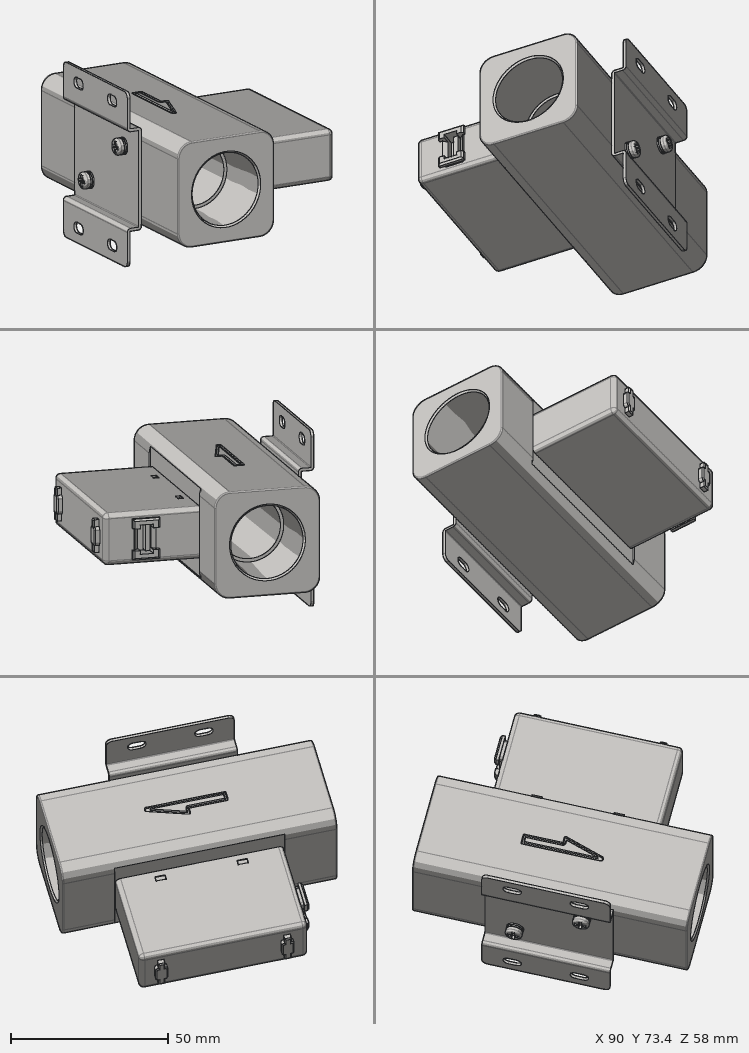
import cadquery as cq
TUBE_LENGTH = 90.0
TUBE_SIDE = 34.9
TUBE_CORNER_RADIUS = 5.0
TUBE_END_FILLET = 0.4
TUBE_HALF = TUBE_SIDE / 2

BORE_RADIUS = 10.3
SOCKET_MOUTH_RADIUS = 12.0
SOCKET_FLOOR_RADIUS = 11.4
SOCKET_DEPTH = 20.0
SOCKET_CHAMFER = 0.6

SEAT_LENGTH = 55.8
SEAT_DEPTH = 0.5
SEAT_FLOOR_Y = TUBE_HALF - SEAT_DEPTH

ARROW_TAIL_X = -13.3
ARROW_STEP_X = -0.4
ARROW_TIP_X = 18.0
ARROW_BOTTOM_Y = -2.0
ARROW_SHAFT_Y = 1.6
ARROW_HEAD_Y = 4.1
ARROW_GROOVE_WIDTH = 1.05
ARROW_GROOVE_DEPTH = 0.4
ARROW_GROOVE_CHAMFER = 0.3
ARROW_WALL_ANGLE = 35.0
ARROW_CORNER_RADIUS = 0.5
ARROW_TIP_RADIUS = 0.85

COVER_LENGTH = 55.0
COVER_HEIGHT = 17.0
COVER_BACK_Y = 49.0
COVER_FILLET = 1.6
COVER_SIDE_X = -COVER_LENGTH / 2

LUG_SPACING = 41.4
LUG_PROJECTION = 1.8
LUG_BAR_WIDTH = 2.2
LUG_BAR_HEIGHT = 10.8
LUG_BLOCK_WIDTH = 4.0
LUG_BLOCK_HEIGHT = 6.2
LUG_BLOCK_RADIUS = 1.0
LUG_CHAMFER = 0.4

WINDOW_SPACING = 26.9
WINDOW_LENGTH = 3.3
WINDOW_WIDTH = 1.7
WINDOW_Y = 19.8
WINDOW_DEPTH = 1.2
WINDOW_SHALLOW_DEPTH = 0.4

CONNECTOR_Y = 35.6
CONNECTOR_FACE_X = -30.2
FLANGE_THICKNESS = 1.5
FLANGE_WIDTH = 9.0
FLANGE_HEIGHT = 13.4
FLANGE_CHAMFER = 0.6
NECK_WIDTH = 7.0
NECK_HEIGHT = 12.2
NECK_EDGE_RADIUS = 0.7
CONNECTOR_EMBED = 5.0
MOUTH_WIDTH = 4.4
MOUTH_HEIGHT = 9.6
MOUTH_DEPTH = 5.0
NOTCH_HEIGHT = 7.2
TONGUE_WIDTH = 1.5
TONGUE_HEIGHT = 8.6
TONGUE_OFFSET_Y = -0.9
TONGUE_LENGTH = 3.0

SHEET = 1.0
BRACKET_WIDTH = 42.0
BRACKET_HEIGHT = 58.0
BRACKET_LEG_Z = 17.0
BRACKET_FRONT_Y = -22.6
BEND_INNER_RADIUS = 0.2
BEND_OUTER_RADIUS = BEND_INNER_RADIUS + SHEET
BRACKET_CORNER_RADIUS = 2.0
SLOT_LENGTH = 6.0
SLOT_WIDTH = 3.5
SLOT_X = 11.0
SLOT_Z = 24.0
WEB_FRONT_Y = -TUBE_HALF - SHEET

SCREW_X = 11.0
SCREW_Z = 8.4
SHANK_RADIUS = 1.5
SHANK_LENGTH = 6.0
WASHER_RADIUS = 2.8
WASHER_THICKNESS = 0.5
SPRING_WASHER_RADIUS = 2.6
SPRING_WASHER_THICKNESS = 0.6
HEAD_RADIUS = 2.75
HEAD_HEIGHT = 2.0
HEAD_DOME_RADIUS = 0.9
RECESS_SPAN = 3.8
RECESS_ARM = 0.9
RECESS_CORE = 1.7
RECESS_DEPTH = 1.2
SCREW_POSITIONS = [(-SCREW_X, -SCREW_Z), (SCREW_X, SCREW_Z)]


def box(length, width, height, x, y, z):
    """Box centred on the point (x, y, z)."""
    return cq.Workplane("XY").box(length, width, height).translate((x, y, z))


def bore_cutter():
    """Solid of revolution about X: through bore plus a tapered socket at each end."""
    end = TUBE_LENGTH / 2
    shoulder = end - SOCKET_DEPTH
    neck = end - SOCKET_CHAMFER
    rim = SOCKET_MOUTH_RADIUS + SOCKET_CHAMFER
    return (
        cq.Workplane("XY")
        .moveTo(-end, 0)
        .lineTo(-end, rim)
        .lineTo(-neck, SOCKET_MOUTH_RADIUS)
        .lineTo(-shoulder, SOCKET_FLOOR_RADIUS)
        .lineTo(-shoulder, BORE_RADIUS)
        .lineTo(shoulder, BORE_RADIUS)
        .lineTo(shoulder, SOCKET_FLOOR_RADIUS)
        .lineTo(neck, SOCKET_MOUTH_RADIUS)
        .lineTo(end, rim)
        .lineTo(end, 0)
        .close()
        .revolve(360, (0, 0, 0), (1, 0, 0))
    )


def arrow_groove():
    """Outline of a half arrow, sunk into the tube top with sloping lower walls."""
    floor_z = TUBE_HALF - ARROW_GROOVE_DEPTH
    corners = [
        (ARROW_TAIL_X, ARROW_BOTTOM_Y),
        (ARROW_TIP_X, ARROW_BOTTOM_Y),
        (ARROW_STEP_X, ARROW_HEAD_Y),
        (ARROW_STEP_X, ARROW_SHAFT_Y),
        (ARROW_TAIL_X, ARROW_SHAFT_Y),
    ]
    arrow = (
        cq.Workplane("XY", origin=(0, 0, floor_z))
        .polyline(corners)
        .close()
        .extrude(ARROW_GROOVE_DEPTH)
    )
    rim = arrow.faces(">Z").wires().toPending()
    island = rim.offset2D(-ARROW_GROOVE_WIDTH).extrude(
        -ARROW_GROOVE_DEPTH, combine=False, taper=-ARROW_WALL_ANGLE
    )
    arrow = arrow.edges("|Z and >X").fillet(ARROW_TIP_RADIUS)
    arrow = arrow.edges("|Z and (<X or >Y)").fillet(ARROW_CORNER_RADIUS)
    arrow = arrow.faces("<Z").chamfer(ARROW_GROOVE_CHAMFER)
    return arrow.cut(island)


def screw_holes():
    """Holes through the bracket web and into the tube for the screw shanks."""
    return (
        cq.Workplane("XZ", origin=(0, WEB_FRONT_Y, 0))
        .pushPoints(SCREW_POSITIONS)
        .circle(SHANK_RADIUS)
        .extrude(-SHANK_LENGTH)
    )


def make_tube():
    tube = box(TUBE_LENGTH, TUBE_SIDE, TUBE_SIDE, 0, 0, 0)
    tube = tube.edges("|X").fillet(TUBE_CORNER_RADIUS)
    tube = tube.faces("<X or >X").edges().fillet(TUBE_END_FILLET)
    seat = box(SEAT_LENGTH, SEAT_DEPTH, TUBE_SIDE, 0, TUBE_HALF - SEAT_DEPTH / 2, 0)
    return tube.cut(bore_cutter()).cut(seat).cut(arrow_groove()).cut(screw_holes())


def make_lug(x):
    """Cross-shaped lug standing on the back of the cover."""
    y = COVER_BACK_Y + LUG_PROJECTION / 2
    bar = box(LUG_BAR_WIDTH, LUG_PROJECTION, LUG_BAR_HEIGHT, x, y, 0)
    block = box(LUG_BLOCK_WIDTH, LUG_PROJECTION, LUG_BLOCK_HEIGHT, x, y, 0)
    block = block.edges("|Y").fillet(LUG_BLOCK_RADIUS)
    return bar.union(block).faces(">Y").chamfer(LUG_CHAMFER)


def snap_window(x):
    """Rectangular pocket whose floor slopes down toward +Y."""
    top = COVER_HEIGHT / 2
    near = WINDOW_Y - WINDOW_WIDTH / 2
    far = WINDOW_Y + WINDOW_WIDTH / 2
    return (
        cq.Workplane("YZ", origin=(x - WINDOW_LENGTH / 2, 0, 0))
        .polyline(
            [
                (near, top),
                (far, top),
                (far, top - WINDOW_DEPTH),
                (near, top - WINDOW_SHALLOW_DEPTH),
            ]
        )
        .close()
        .extrude(WINDOW_LENGTH)
    )


def make_cover():
    depth = COVER_BACK_Y - SEAT_FLOOR_Y
    cover = box(COVER_LENGTH, depth, COVER_HEIGHT, 0, SEAT_FLOOR_Y + depth / 2, 0)
    cover = cover.edges("not(<Y)").fillet(COVER_FILLET)
    for side in (-1, 1):
        cover = cover.union(make_lug(side * LUG_SPACING / 2))
        cover = cover.cut(snap_window(side * WINDOW_SPACING / 2))
    return cover.cut(connector_neck())


def connector_neck():
    """Plain block of the connector, from the flange to its end inside the cover."""
    start = CONNECTOR_FACE_X + FLANGE_THICKNESS
    end = COVER_SIDE_X + CONNECTOR_EMBED
    neck = box(end - start, NECK_WIDTH, NECK_HEIGHT, (start + end) / 2, CONNECTOR_Y, 0)
    return neck.edges("|X").fillet(NECK_EDGE_RADIUS)


def connector_notch():
    """Tapered notch across the middle of the flange, leading into the mouth."""
    back = CONNECTOR_FACE_X + FLANGE_THICKNESS
    lead_in = (NECK_WIDTH - MOUTH_WIDTH) / 2
    half_flange = FLANGE_WIDTH / 2
    half_neck = NECK_WIDTH / 2
    half_mouth = MOUTH_WIDTH / 2
    return (
        cq.Workplane("XY", origin=(0, CONNECTOR_Y, -NOTCH_HEIGHT / 2))
        .polyline(
            [
                (CONNECTOR_FACE_X, -half_flange),
                (back, -half_flange),
                (back, -half_neck),
                (back + lead_in, -half_mouth),
                (back + lead_in, half_mouth),
                (back, half_neck),
                (back, half_flange),
                (CONNECTOR_FACE_X, half_flange),
            ]
        )
        .close()
        .extrude(NOTCH_HEIGHT)
    )


def make_connector():
    flange_x = CONNECTOR_FACE_X + FLANGE_THICKNESS / 2
    flange = box(FLANGE_THICKNESS, FLANGE_WIDTH, FLANGE_HEIGHT, flange_x, CONNECTOR_Y, 0)
    flange = flange.faces("<X").chamfer(FLANGE_CHAMFER)
    mouth_x = CONNECTOR_FACE_X + MOUTH_DEPTH / 2
    mouth = box(MOUTH_DEPTH, MOUTH_WIDTH, MOUTH_HEIGHT, mouth_x, CONNECTOR_Y, 0)
    tongue_x = CONNECTOR_FACE_X + MOUTH_DEPTH - TONGUE_LENGTH / 2
    tongue_y = CONNECTOR_Y + TONGUE_OFFSET_Y
    tongue = box(TONGUE_LENGTH, TONGUE_WIDTH, TONGUE_HEIGHT, tongue_x, tongue_y, 0)
    shell = flange.union(connector_neck())
    return shell.cut(connector_notch()).cut(mouth).union(tongue)


def bracket_half(side):
    """Z-bent profile of one half of the bracket, from mid-height to one end."""
    leg_inner = BRACKET_LEG_Z - SHEET
    flange_back_y = BRACKET_FRONT_Y + SHEET
    profile = [
        (-TUBE_HALF, 0),
        (-TUBE_HALF, BRACKET_LEG_Z),
        (flange_back_y, BRACKET_LEG_Z),
        (flange_back_y, BRACKET_HEIGHT / 2),
        (BRACKET_FRONT_Y, BRACKET_HEIGHT / 2),
        (BRACKET_FRONT_Y, leg_inner),
        (WEB_FRONT_Y, leg_inner),
        (WEB_FRONT_Y, 0),
    ]
    half = (
        cq.Workplane("YZ", origin=(-BRACKET_WIDTH / 2, 0, 0))
        .polyline(profile)
        .close()
        .extrude(BRACKET_WIDTH)
    )

    def bend_edge(y, z):
        return cq.selectors.NearestToPointSelector((0, y, z))

    for y, z in [(-TUBE_HALF, BRACKET_LEG_Z), (BRACKET_FRONT_Y, leg_inner)]:
        half = half.edges(bend_edge(y, z)).fillet(BEND_OUTER_RADIUS)
    for y, z in [(flange_back_y, BRACKET_LEG_Z), (WEB_FRONT_Y, leg_inner)]:
        half = half.edges(bend_edge(y, z)).fillet(BEND_INNER_RADIUS)
    half = half.faces(">Z").edges("|Y").fillet(BRACKET_CORNER_RADIUS)
    return half if side > 0 else half.mirror("XY")


def make_bracket():
    slots = (
        cq.Workplane("XZ", origin=(0, BRACKET_FRONT_Y, 0))
        .rarray(2 * SLOT_X, 2 * SLOT_Z, 2, 2)
        .slot2D(SLOT_LENGTH, SLOT_WIDTH)
        .extrude(-SHEET)
    )
    bracket = bracket_half(1).union(bracket_half(-1)).clean()
    return bracket.cut(slots).cut(screw_holes())


def make_screw(x, z):
    """Pan-head cross-recess screw with flat and spring washers, pointing toward +Y."""
    top = WASHER_THICKNESS + SPRING_WASHER_THICKNESS + HEAD_HEIGHT
    plane = cq.Workplane("XZ", origin=(x, WEB_FRONT_Y, z))
    head = plane.workplane(offset=top - HEAD_HEIGHT).circle(HEAD_RADIUS).extrude(HEAD_HEIGHT)
    head = head.faces("<Y").edges().fillet(HEAD_DOME_RADIUS)
    washer = plane.circle(WASHER_RADIUS).extrude(WASHER_THICKNESS)
    spring_washer = (
        plane.workplane(offset=WASHER_THICKNESS)
        .circle(SPRING_WASHER_RADIUS)
        .extrude(SPRING_WASHER_THICKNESS)
    )
    shank = plane.circle(SHANK_RADIUS).extrude(-SHANK_LENGTH)
    screw = head.union(spring_washer).union(washer).union(shank)
    recess = plane.workplane(offset=top - RECESS_DEPTH)
    arm_across = recess.rect(RECESS_SPAN, RECESS_ARM).extrude(RECESS_DEPTH)
    arm_up = recess.rect(RECESS_ARM, RECESS_SPAN).extrude(RECESS_DEPTH)
    core = recess.transformed(rotate=(0, 0, 45)).rect(RECESS_CORE, RECESS_CORE).extrude(RECESS_DEPTH)
    return screw.cut(arm_across.union(arm_up).union(core))


tube = make_tube()
cover = make_cover()
connector = make_connector()
bracket = make_bracket()
screws = [make_screw(x, z) for x, z in SCREW_POSITIONS]

result = cq.Compound.makeCompound(
    [
        tube.val(),
        cover.val(),
        connector.val(),
        bracket.val(),
        *[screw.val() for screw in screws],
    ]
)